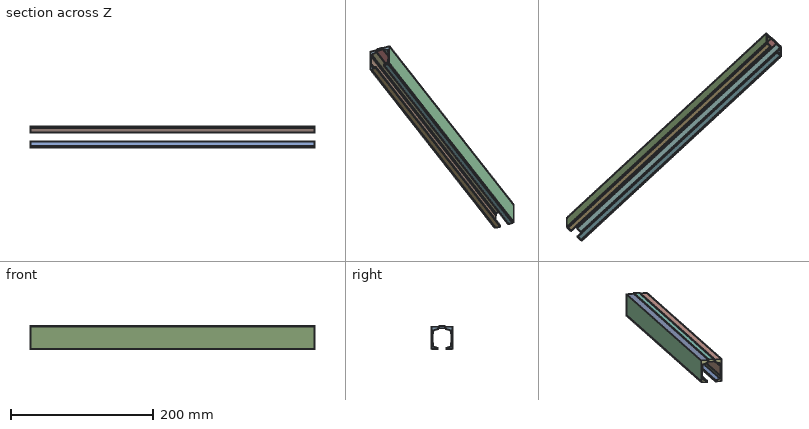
import cadquery as cq

length = 400.0
width = 30.0
height = 33.0

strip_width = 8.4
strip_height = 1.0

wall = 2.4
recess_depth = 0.4
recess_bottom = 8.4
recess_top = 22.4

ceiling_at_wall = 26.0
ceiling_at_groove = 28.4
groove_roof = 29.4
groove_width = 11.0

slot_width = 12.6
lip_root_top = 4.0
lip_tip_top = 2.0
corner_chamfer_width = 2.0
corner_chamfer_height = 1.0


def half_profile():
    """Corner points (y, z) of the +Y half section, from the top centre round to the groove roof."""
    half_width = width / 2
    half_strip = strip_width / 2
    half_slot = slot_width / 2
    half_groove = groove_width / 2
    inner_face = half_width - wall
    recess_face = inner_face + recess_depth
    shoulder = height - strip_height
    return [
        (0, height),
        (half_strip, height),
        (half_strip, shoulder),
        (half_width, shoulder),
        (half_width, corner_chamfer_height),
        (half_width - corner_chamfer_width, 0),
        (half_slot, 0),
        (half_slot, lip_tip_top),
        (inner_face, lip_root_top),
        (inner_face, recess_bottom),
        (recess_face, recess_bottom),
        (recess_face, recess_top),
        (inner_face, recess_top),
        (inner_face, ceiling_at_wall),
        (half_groove, ceiling_at_groove),
        (half_groove, groove_roof),
        (0, groove_roof),
    ]


def rail():
    """Extrude the symmetric section along X, centred on the origin in all three directions."""
    section = cq.Workplane("YZ").polyline(half_profile()).mirrorY()
    return section.extrude(length).translate((-length / 2, 0, -height / 2))


result = rail()